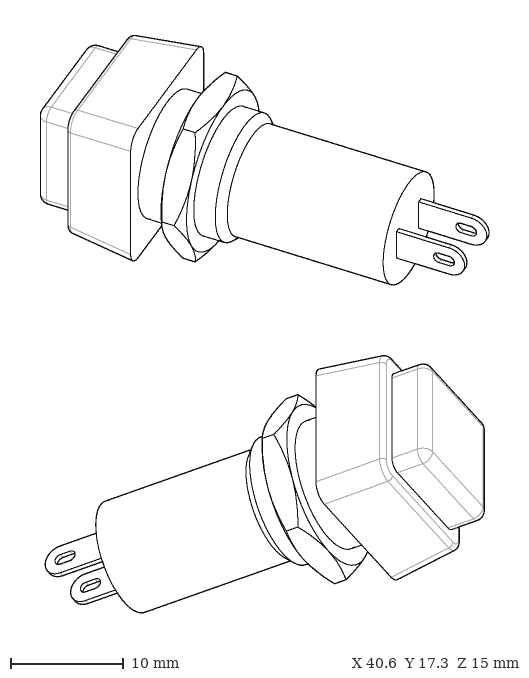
import cadquery as cq
import math

total_length = 40.6
button_length = 3.57
bezel_length = 6.6
bezel_rear_x = button_length + bezel_length
nut_front_x = 13.15
neck_rear_x = 18.6
body_rear_x = 33.9

button_size = 11.0
button_fillet = 0.97

bezel_size = 15.0
bezel_draft_angle = 5.0
bezel_corner_radius = 1.5
bezel_front_fillet = 0.5
bezel_front_size = bezel_size - 2 * bezel_length * math.tan(math.radians(bezel_draft_angle))

neck_diameter = 12.0
neck_chamfer = 0.8
body_diameter = 10.47

nut_across_flats = 15.0
nut_thickness = 2.5
nut_chamfer_angle = 30.0
nut_corner_radius = nut_across_flats / 2 / math.cos(math.radians(30))

terminal_width = 3.05
terminal_thickness = 0.5
terminal_spacing = 4.55
terminal_slot_length = 2.05
terminal_slot_width = 1.05
terminal_slot_x = 38.55


def axial_plane(x):
    """Plane facing +X at station x: local X is global Y, local Y is global Z."""
    return cq.Workplane("YZ", origin=(x, 0, 0))


def make_button():
    """Square push button with rounded front and side edges."""
    block = axial_plane(0).rect(button_size, button_size).extrude(button_length)
    return block.edges("|X or <X").fillet(button_fillet)


def rounded_square(size):
    return cq.Sketch().rect(size, size).vertices().fillet(bezel_corner_radius)


def make_bezel():
    """Tapered bezel with a rounded front rim."""
    front = rounded_square(bezel_front_size)
    rear = rounded_square(bezel_size).moved(cq.Location(cq.Vector(0, 0, bezel_length)))
    frustum = axial_plane(button_length).placeSketch(front, rear).loft(ruled=True)
    return frustum.faces("<X").edges().fillet(bezel_front_fillet)


def make_housing():
    """Bezel and stepped barrel in one piece."""
    neck = axial_plane(bezel_rear_x).circle(neck_diameter / 2).extrude(neck_rear_x - bezel_rear_x)
    neck = neck.faces(">X").chamfer(neck_chamfer, (neck_diameter - body_diameter) / 2)
    body = axial_plane(bezel_rear_x).circle(body_diameter / 2).extrude(body_rear_x - bezel_rear_x)
    return make_bezel().union(neck).union(body)


def make_nut():
    """Hexagonal nut with its corners turned off conically on both faces."""
    hexagon = axial_plane(nut_front_x).polygon(6, 2 * nut_corner_radius).extrude(nut_thickness)
    face_radius = nut_across_flats / 2
    chamfer_depth = (nut_corner_radius - face_radius) * math.tan(math.radians(nut_chamfer_angle))
    turned_blank = (
        axial_plane(nut_front_x)
        .circle(nut_corner_radius)
        .extrude(nut_thickness)
        .faces("<X or >X")
        .chamfer(chamfer_depth, nut_corner_radius - face_radius)
    )
    bore = axial_plane(nut_front_x).circle(neck_diameter / 2).extrude(nut_thickness)
    return hexagon.intersect(turned_blank).cut(bore)


def make_terminal(y):
    """Flat solder tag centred at y, with a round end and a wire slot."""
    half_width = terminal_width / 2
    round_start_x = total_length - half_width
    tag = (
        cq.Workplane("XZ", origin=(0, y + terminal_thickness / 2, 0))
        .moveTo(body_rear_x, -half_width)
        .lineTo(round_start_x, -half_width)
        .threePointArc((total_length, 0), (round_start_x, half_width))
        .lineTo(body_rear_x, half_width)
        .close()
        .extrude(terminal_thickness)
    )
    slot = (
        cq.Workplane("XZ", origin=(terminal_slot_x, y + terminal_thickness / 2, 0))
        .slot2D(terminal_slot_length, terminal_slot_width)
        .extrude(terminal_thickness)
    )
    return tag.cut(slot)


button = make_button()
housing = make_housing()
nut = make_nut()
terminals = []
for side in (-1, 1):
    terminals.append(make_terminal(side * terminal_spacing / 2).val())

result = cq.Compound.makeCompound([button.val(), housing.val(), nut.val(), *terminals])